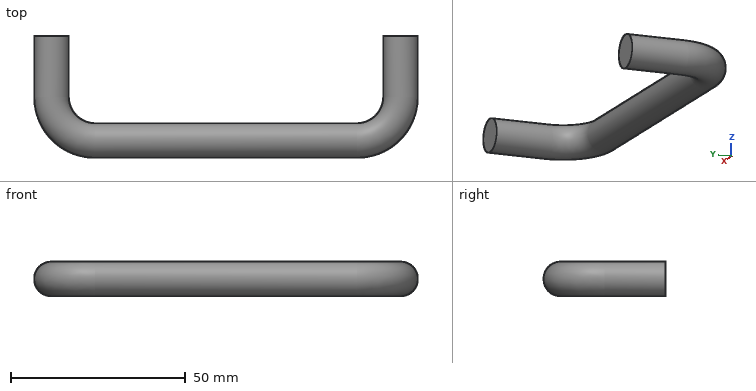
import cadquery as cq
import math

ROD_DIAMETER = 10.0
LEG_SPACING = 100.0
HANDLE_DEPTH = 35.0
BEND_RADIUS = 12.5

rod_radius = ROD_DIAMETER / 2
leg_x = LEG_SPACING / 2
grip_y = -(HANDLE_DEPTH - rod_radius)
bend_start_y = grip_y + BEND_RADIUS
bend_end_x = leg_x - BEND_RADIUS
bend_mid_offset = BEND_RADIUS * math.sin(math.radians(45))
bend_mid_x = bend_end_x + bend_mid_offset
bend_mid_y = bend_start_y - bend_mid_offset


def make_rod_axis():
    """U-shaped centre line: leg, bend, grip, bend, leg."""
    return (
        cq.Workplane("XY")
        .moveTo(-leg_x, 0)
        .lineTo(-leg_x, bend_start_y)
        .threePointArc((-bend_mid_x, bend_mid_y), (-bend_end_x, grip_y))
        .lineTo(bend_end_x, grip_y)
        .threePointArc((bend_mid_x, bend_mid_y), (leg_x, bend_start_y))
        .lineTo(leg_x, 0)
    )


def make_handle():
    """Round rod swept along the centre line from the left mounting face."""
    rod_section = cq.Workplane("XZ").center(-leg_x, 0).circle(rod_radius)
    return rod_section.sweep(make_rod_axis())


result = make_handle()